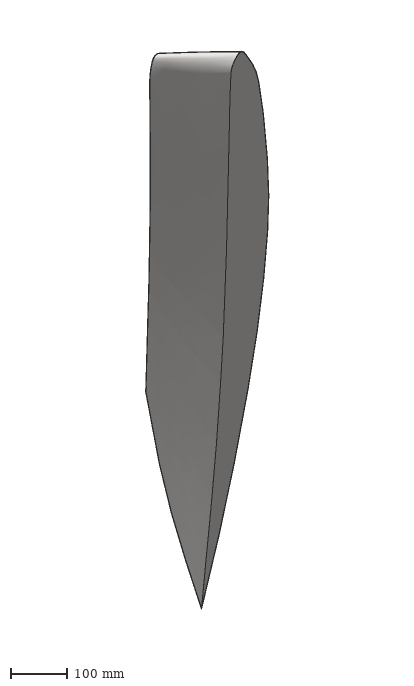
import cadquery as cq

SPAN = 120.0
NOSE_Z = 1287.19
THICKEST_Y = 212.52
MID_SPAN_BULGE = 10.0

TAIL_HEIGHTS = [475.0, 308.0, 186.0, 89.0, 0.0]

NOSE_Y = (31.0, 119.0)

CREST_FRACTION = 0.34
CREST_Y = (97.5, THICKEST_Y)

BACK_BELOW_CREST = [
    (0.85, 32.0, 75.0),
    (0.70, 63.5, 135.5),
    (0.50, 91.0, 193.5),
]
BACK_ABOVE_CREST = [
    (0.13, 78.0, 189.0),
    (0.06, 63.0, 168.0),
    (0.015, 47.0, 139.5),
]
FRONT_BELOW_NOSE = [
    (0.011, 20.0, 98.0),
    (0.027, 16.0, 92.5),
    (0.100, 13.0, 88.5),
    (0.245, 14.0, 83.5),
    (0.375, 14.5, 78.0),
]

FACET_CORNERS = [
    ((806.0, 11.5), (620.0, 68.5), 0.2),
    ((725.0, 9.5), (512.0, 60.0), 0.3),
    ((636.0, 6.0), (372.0, 47.0), 0.3),
    ((593.0, 4.5), (248.0, 32.5), 0.75),
    ((555.0, 3.0), (186.0, 24.5), 0.9),
    ((525.0, 2.0), (124.0, 16.0), 1.0),
    ((500.0, 1.0), (62.0, 8.0), 1.0),
    ((487.0, 0.5), (31.0, 4.0), 1.0),
]


def blend(small, large, t):
    """Value at span fraction t, between the small end and the large end."""
    return small + (large - small) * t


def profile_points(t, tail_z):
    """Points of the profile at span fraction t (0 = small end, 1 = large end).

    Returns the points of the smooth outline, from the tail up the back, over the nose
    and down to the first facet, and then the ends of the facets, down to the tail.
    """
    x = SPAN * t
    chord = NOSE_Z - tail_z
    tail_sag = blend(TAIL_HEIGHTS[0], TAIL_HEIGHTS[-1], t) - tail_z
    bulge = 1 + MID_SPAN_BULGE * 4 * t * (1 - t) / blend(*CREST_Y, t)

    def smooth_point(row, depth_factor):
        fraction, small_y, large_y = row
        y = blend(small_y, large_y, t) * depth_factor
        return cq.Vector(x, y, NOSE_Z - fraction * chord)

    def facet_corner(small, large, sag_share):
        small_z, small_y = small
        large_z, large_y = large
        z = blend(small_z, large_z, t) - sag_share * tail_sag
        return cq.Vector(x, blend(small_y, large_y, t), z)

    tail = cq.Vector(x, 0, tail_z)
    back_rows = [*BACK_BELOW_CREST, (CREST_FRACTION, *CREST_Y), *BACK_ABOVE_CREST]
    front_rows = [(0, *NOSE_Y), *FRONT_BELOW_NOSE]
    back = [smooth_point(row, bulge) for row in back_rows]
    front = [smooth_point(row, 1) for row in front_rows]
    corners = [facet_corner(*corner) for corner in FACET_CORNERS]
    return [tail, *back, *front, corners[0]], [*corners, tail]


def spacing_along(points):
    """Distance from the first point, along straight steps, to each point."""
    distances = [0.0]
    for start, end in zip(points, points[1:]):
        distances.append(distances[-1] + (end - start).Length)
    return distances


def profile_wire(outline, facet_ends, parameters):
    """Closed profile: the smooth outline, upright at the crest and level at the nose, and the facets."""
    crest_index = 1 + len(BACK_BELOW_CREST)
    nose_index = crest_index + len(BACK_ABOVE_CREST) + 1
    tangents = [None] * len(outline)
    tangents[crest_index] = cq.Vector(0, 0, 1)
    tangents[nose_index] = cq.Vector(0, -1, 0)

    edges = [cq.Edge.makeSpline(outline, tangents=tangents, parameters=parameters, scale=False)]
    for start, end in zip(facet_ends, facet_ends[1:]):
        edges.append(cq.Edge.makeLine(start, end))
    return cq.Wire.assembleEdges(edges)


last_station = len(TAIL_HEIGHTS) - 1
stations = [profile_points(i / last_station, tail_z) for i, tail_z in enumerate(TAIL_HEIGHTS)]

middle_outline, _ = stations[last_station // 2]
shared_parameters = spacing_along(middle_outline)
profiles = [profile_wire(outline, facets, shared_parameters) for outline, facets in stations]

result = cq.Workplane(obj=cq.Solid.makeLoft(profiles))